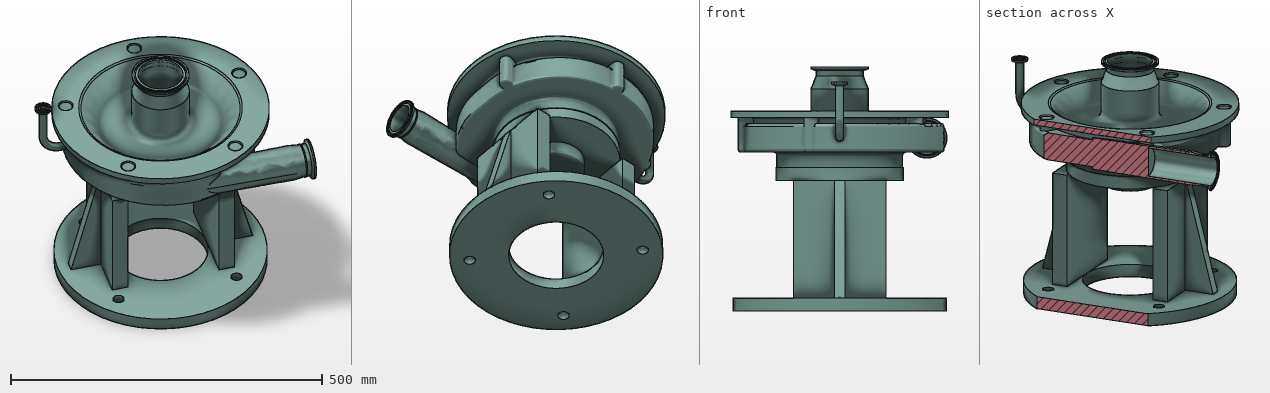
import cadquery as cq
import math

base_radius = 171.5
base_thickness = 21.0
base_hole_radius = 76.3
anchor_hole_radius = 9.0
anchor_circle_radius = 139.5
anchor_count = 4

seat_z = 210.0
leg_width = 149.0
leg_inner_y = 76.3
leg_outer_y = 102.2
rib_thickness = 16.5
rib_foot_y = 152.0
rib_top_y = 103.0

seat_ring_radius = 102.6
seat_ring_top_z = 231.0
housing_radius = 101.3
housing_flare = 5.5
stub_radius = 45.5
stub_bottom_z = 185.0
stub_rounding = 6.0

casing_bottom_z = 255.5
casing_top_z = 302.0
volute_first_reach = 144.2
volute_step = 7.8
casing_bottom_rounding = 4.5
casing_top_rounding = 5.5

flange_radius = 175.0
flange_bottom_z = 311.0
flange_top_z = 321.7
neck_radius = 139.0
neck_fillet = 3.0
dish_rim_radius = 131.5
dish_rim_drop = 1.5
dish_cone_top_radius = 128.0
dish_cone_bottom_radius = 102.0
dish_floor_radius = 91.5
dish_floor_z = 289.0
dish_floor_rise = 4.5
dish_hub_fillet = 20.0

post_radius = 10.5
post_circle_radius = 152.5
post_count = 5
post_first_angle = 36.0
post_angles = [post_first_angle + 360 / post_count * index for index in range(post_count)]
post_web_length = 15.0
contact_tolerance = 0.001
post_side_fillet = 2.0
bolt_recess_radius = 12.0
bolt_recess_depth = 2.0

inlet_radius = 46.3
inlet_shoulder_z = 357.0
inlet_neck_radius = 38.0
inlet_neck_z = 378.0
inlet_end_z = 392.5
inlet_bore_radius = 36.0
inlet_bore_taper_top_z = 365.0
inlet_bore_taper_bottom_z = 349.0
inlet_bore_lower_radius = 39.0

ferrule_rim = 3.0
ferrule_taper = 3.0
groove_depth = 1.0
inlet_ferrule_radius = 46.0
inlet_groove_radius = 41.5
outlet_ferrule_radius = 32.5
outlet_groove_radius = 29.0
drain_ferrule_radius = 13.0
drain_groove_radius = 9.0
groove_width = 2.5

outlet_x = 140.0
outlet_z = 278.5
outlet_end_y = 211.2
outlet_tube_radius = 26.5
outlet_bead_y = 197.0
outlet_bead_radius = 27.2
outlet_bead_width = 2.0
outlet_flare_end_y = 193.5
outlet_flare_mid_y = 186.0
outlet_flare_mid_radius = 27.2
outlet_flare_start_y = 178.5
outlet_flare_radius = 28.4
outlet_root_half_width = 24.4
outlet_root_half_height = 27.0
outlet_root_y = 0.0
outlet_bore_radius = 23.5
outlet_bore_bottom_y = 100.0

drain_z = 279.5
drain_y = -196.5
drain_bend_radius = 28.5
drain_tube_radius = 6.5
drain_bore_radius = 4.8
drain_root_y = -150.0
drain_end_z = 368.0


def cylinder(radius, bottom, top):
    return cq.Workplane("XY").workplane(offset=bottom).circle(radius).extrude(top - bottom)


def polar(radius, angle):
    return (radius * math.cos(math.radians(angle)), radius * math.sin(math.radians(angle)))


def revolve_z(points):
    """Turn a closed (radius, z) outline about the Z axis."""
    return cq.Workplane("XZ").polyline(points).close().revolve(360, (0, 0, 0), (0, 1, 0))


def ferrule(rim_radius, tube_radius, groove_radius, end):
    """Clamp ferrule about Z with its face at height `end`."""
    rim_back = end - ferrule_rim
    body = revolve_z([
        (0, end),
        (rim_radius, end),
        (rim_radius, rim_back),
        (tube_radius, rim_back - ferrule_taper),
        (0, rim_back - ferrule_taper),
    ])
    groove = (
        cq.Workplane("XY").workplane(offset=end - groove_depth)
        .circle(groove_radius + groove_width / 2)
        .circle(groove_radius - groove_width / 2)
        .extrude(groove_depth)
    )
    return body.cut(groove)


def make_base():
    anchor_spacing = 360 / anchor_count
    return (
        cylinder(base_radius, 0, base_thickness)
        .cut(cylinder(base_hole_radius, 0, base_thickness))
        .faces(">Z").workplane(origin=(0, 0, base_thickness))
        .polarArray(anchor_circle_radius, anchor_spacing / 2, 360, anchor_count)
        .hole(2 * anchor_hole_radius)
    )


def make_leg():
    """The leg on the +Y side, with its rib."""
    leg = cq.Workplane("XY").box(
        leg_width, leg_outer_y - leg_inner_y, seat_z - base_thickness, centered=(True, False, False)
    ).translate((0, leg_inner_y, base_thickness))
    rib = (
        cq.Workplane("YZ").workplane(offset=-rib_thickness / 2)
        .polyline([
            (leg_inner_y, base_thickness),
            (rib_foot_y, base_thickness),
            (rib_top_y, seat_z),
            (leg_inner_y, seat_z),
        ])
        .close().extrude(rib_thickness)
    )
    return leg.union(rib)


def make_housing():
    flare_z = casing_bottom_z - housing_flare
    housing = (
        cq.Workplane("XZ")
        .moveTo(0, seat_z)
        .lineTo(seat_ring_radius, seat_z)
        .lineTo(seat_ring_radius, seat_ring_top_z)
        .lineTo(housing_radius, seat_ring_top_z)
        .lineTo(housing_radius, flare_z)
        .radiusArc((housing_radius + housing_flare, casing_bottom_z), housing_flare)
        .lineTo(0, casing_bottom_z)
        .close().revolve(360, (0, 0, 0), (0, 1, 0))
    )
    stub = cylinder(stub_radius, stub_bottom_z, seat_z).faces("<Z").edges().fillet(stub_rounding)
    return housing.union(stub)


def make_volute(bottom, top):
    """Prism of quarter arcs, its reach growing one step from +Y through -X and -Y to +X."""
    half_step = volute_step / 2
    radius = volute_first_reach + half_step
    center_x = -half_step
    center_y = -half_step
    first_point = (center_x, center_y + radius)
    outline = cq.Workplane("XY").workplane(offset=bottom).moveTo(*first_point)
    for start_angle, shift_x, shift_y in ((90, volute_step, 0), (180, 0, volute_step), (270, 0, 0)):
        middle_x, middle_y = polar(radius, start_angle + 45)
        end_x, end_y = polar(radius, start_angle + 90)
        last_point = (center_x + end_x, center_y + end_y)
        outline = outline.threePointArc((center_x + middle_x, center_y + middle_y), last_point)
        center_x += shift_x
        center_y += shift_y
        radius += volute_step
    closing_radius = first_point[1] - last_point[1]
    closing_x = last_point[0] - closing_radius
    middle_x, middle_y = polar(closing_radius, 45)
    return (
        outline
        .threePointArc((closing_x + middle_x, last_point[1] + middle_y), (closing_x, first_point[1]))
        .close().extrude(top - bottom)
    )


def make_post(angle, bottom, top):
    """Bolt post with a web running in towards the pump axis."""
    web = cq.Workplane("XY").workplane(offset=bottom).rect(post_web_length, 2 * post_radius)
    web = web.extrude(top - bottom).translate((-post_web_length / 2, 0, 0))
    post = cylinder(post_radius, bottom, top).union(web)
    return post.translate((post_circle_radius, 0, 0)).rotate((0, 0, 0), (0, 0, 1), angle)


def post_junctions(body, wall):
    """Upright edges of `body` where the side of a post runs into the volute wall."""
    wall_faces = wall.faces("not |Z").vals()
    axes = [cq.Vector(*polar(post_circle_radius, angle)) for angle in post_angles]
    junctions = []
    for edge in body.edges("|Z").vals():
        middle = edge.Center()
        level_middle = cq.Vector(middle.x, middle.y)
        wall_gap = min(cq.Vertex.makeVertex(*middle.toTuple()).distance(face) for face in wall_faces)
        post_gap = min((level_middle - axis).Length for axis in axes)
        if wall_gap < contact_tolerance and post_gap < post_web_length:
            junctions.append(edge)
    return junctions


def make_casing():
    """Volute with its bolt posts, rounded along the bottom and the top."""
    middle_z = (casing_bottom_z + casing_top_z) / 2
    shoulder_z = casing_top_z - casing_top_rounding
    wall = make_volute(casing_bottom_z, shoulder_z)
    lower = wall
    upper = make_volute(middle_z, casing_top_z).faces(">Z").edges().fillet(casing_top_rounding)
    for angle in post_angles:
        lower = lower.union(make_post(angle, casing_bottom_z, shoulder_z))
        upper = upper.union(make_post(angle, middle_z, flange_bottom_z))
    lower = lower.newObject(post_junctions(lower, wall)).fillet(post_side_fillet)
    lower = lower.faces("<Z").edges().fillet(casing_bottom_rounding)
    return lower.union(upper)


def make_flange():
    neck = (
        cq.Workplane("XZ")
        .moveTo(0, casing_top_z)
        .lineTo(neck_radius, casing_top_z)
        .lineTo(neck_radius, flange_bottom_z - neck_fillet)
        .radiusArc((neck_radius + neck_fillet, flange_bottom_z), neck_fillet)
        .lineTo(0, flange_bottom_z)
        .close().revolve(360, (0, 0, 0), (0, 1, 0))
    )
    return neck.union(cylinder(flange_radius, flange_bottom_z, flange_top_z))


def make_bolt_recess(angle):
    x, y = polar(post_circle_radius, angle)
    return revolve_z([
        (0, flange_top_z - bolt_recess_depth),
        (post_radius, flange_top_z - bolt_recess_depth),
        (bolt_recess_radius, flange_top_z),
        (0, flange_top_z),
    ]).translate((x, y, 0))


def make_dish():
    """Ring-shaped hollow in the flange, rounded at its rim, its floor and the inlet foot."""
    cone_top_z = flange_top_z - dish_rim_drop
    cone_bottom_z = dish_floor_z + dish_floor_rise
    hub_fillet_z = dish_floor_z + dish_hub_fillet
    return (
        cq.Workplane("XZ")
        .moveTo(inlet_radius, flange_top_z)
        .lineTo(dish_rim_radius, flange_top_z)
        .lineTo(dish_cone_top_radius, cone_top_z)
        .lineTo(dish_cone_bottom_radius, cone_bottom_z)
        .tangentArcPoint((dish_floor_radius, dish_floor_z), relative=False)
        .lineTo(inlet_radius + dish_hub_fillet, dish_floor_z)
        .radiusArc((inlet_radius, hub_fillet_z), dish_hub_fillet)
        .close().revolve(360, (0, 0, 0), (0, 1, 0))
    )


def make_inlet():
    pipe = revolve_z([
        (0, casing_top_z),
        (inlet_radius, casing_top_z),
        (inlet_radius, inlet_shoulder_z),
        (inlet_neck_radius, inlet_neck_z),
        (inlet_neck_radius, inlet_end_z),
        (0, inlet_end_z),
    ])
    return pipe.union(ferrule(inlet_ferrule_radius, inlet_neck_radius, inlet_groove_radius, inlet_end_z))


def make_inlet_bore():
    return revolve_z([
        (0, dish_floor_z),
        (inlet_bore_lower_radius, dish_floor_z),
        (inlet_bore_lower_radius, inlet_bore_taper_bottom_z),
        (inlet_bore_radius, inlet_bore_taper_top_z),
        (inlet_bore_radius, inlet_end_z),
        (0, inlet_end_z),
    ])


def along_outlet(shape):
    """Move a shape built about Z onto the outlet axis, with Z turned to +Y."""
    return shape.rotate((0, 0, 0), (1, 0, 0), -90).translate((outlet_x, 0, outlet_z))


def make_outlet():
    tube_end = outlet_end_y - ferrule_rim - ferrule_taper
    root = (
        cq.Workplane("XY").workplane(offset=outlet_root_y)
        .ellipse(outlet_root_half_width, outlet_root_half_height)
        .workplane(offset=outlet_flare_start_y - outlet_root_y)
        .circle(outlet_flare_radius)
        .loft()
    )
    pipe = revolve_z([
        (0, outlet_flare_start_y),
        (outlet_flare_radius, outlet_flare_start_y),
        (outlet_flare_mid_radius, outlet_flare_mid_y),
        (outlet_tube_radius, outlet_flare_end_y),
        (outlet_tube_radius, tube_end),
        (0, tube_end),
    ])
    bead_start = outlet_bead_y - outlet_bead_width / 2
    bead = cylinder(outlet_bead_radius, bead_start, bead_start + outlet_bead_width)
    end = ferrule(outlet_ferrule_radius, outlet_tube_radius, outlet_groove_radius, outlet_end_y)
    return along_outlet(root.union(pipe).union(bead).union(end))


def make_drain_run(radius):
    """Round bar following the drain path from the casing up to the ferrule face."""
    bend_start_y = drain_y + drain_bend_radius
    bend_end_z = drain_z + drain_bend_radius
    diagonal = drain_bend_radius * math.sqrt(0.5)
    path = (
        cq.Workplane("YZ")
        .moveTo(drain_root_y, drain_z)
        .lineTo(bend_start_y, drain_z)
        .threePointArc((bend_start_y - diagonal, bend_end_z - diagonal), (drain_y, bend_end_z))
        .lineTo(drain_y, drain_end_z)
    )
    return cq.Workplane("XZ", origin=(0, drain_root_y, drain_z)).circle(radius).sweep(path)


def make_drain():
    end = ferrule(drain_ferrule_radius, drain_tube_radius, drain_groove_radius, drain_end_z)
    return make_drain_run(drain_tube_radius).union(end.translate((0, drain_y, 0)))


result = make_base()
for leg_angle in (0, 180):
    result = result.union(make_leg().rotate((0, 0, 0), (0, 0, 1), leg_angle))
result = result.union(make_housing()).union(make_casing()).union(make_outlet())
result = result.union(make_flange()).cut(make_dish())
for post_angle in post_angles:
    result = result.cut(make_bolt_recess(post_angle))
result = result.union(make_inlet().cut(make_dish())).union(make_drain())

outlet_bore = cylinder(outlet_bore_radius, outlet_bore_bottom_y, outlet_end_y)
result = result.cut(make_inlet_bore()).cut(along_outlet(outlet_bore)).cut(make_drain_run(drain_bore_radius))